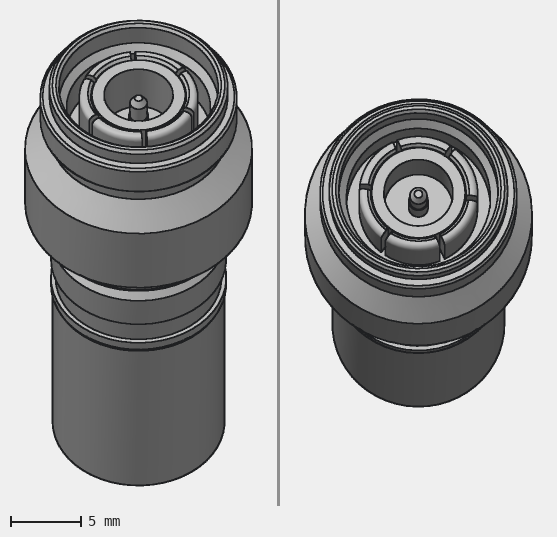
import cadquery as cq

LENGTH = 36.2

SLEEVE_RADIUS = 6.15
FLANGE_RADIUS = 6.25
FLANGE_CHAMFER = 0.25
SLEEVE_TOP_Z = 14.5
GROOVE_RADIUS = 5.95
GROOVE_BOTTOM_Z = 15.53
GROOVE_TOP_Z = 17.25
GROOVE_TAPER_RADIUS = 6.08
BODY_BOTTOM_Z = 17.52
BODY_TOP_Z = 20.05
WAIST_RADIUS = 4.95

NUT_BOTTOM_Z = 21.35
NUT_RIM_RADIUS = 6.48
NUT_RIM_TOP_RADIUS = 6.75
NUT_RIM_TOP_Z = 21.75
NUT_STEP_FOOT_RADIUS = 6.8
NUT_STEP_FOOT_Z = 21.85
NUT_STEP_RADIUS = 6.9
NUT_STEP_TOP_Z = 22.45
NUT_RADIUS = 8.1
NUT_CHAMFER = 1.12
NUT_CONE_Z = 29.4
NECK_RADIUS = 6.37
COLLAR_RADIUS = 7.02
COLLAR_BOTTOM_Z = 32.58
COLLAR_TOP_Z = 35.0
COLLAR_TOP_CHAMFER = 0.18
COLLAR_BOTTOM_CHAMFER = 0.1
RIM_CHAMFER = 0.2

BORE_RADIUS = 5.7
SEAT_TOP_Z = 34.35
SEAT_RADIUS = 5.15
CAVITY_FLOOR_Z = 31.15

RING_RADIUS = 4.25
RING_TOP_Z = 35.3
RING_ROUND = 0.4
RING_BORE_RADIUS = 3.4
RING_BORE_CHAMFER = 0.2
SLOT_COUNT = 6
SLOT_WIDTH = 0.35

INSULATOR_RADIUS = 3.33
INSULATOR_TOP_Z = 35.15
SOCKET_RADIUS = 2.45
PIN_BASE_RADIUS = 0.7
PIN_BASE_TOP_Z = 32.95
PIN_RADIUS = 0.6
PIN_TIP_RADIUS = 0.3
PIN_TIP_HEIGHT = 0.5
PIN_TOP_Z = 34.82


def cylinder(radius, bottom, top):
    return cq.Workplane("XY").workplane(offset=bottom).circle(radius).extrude(top - bottom)


def revolved(points):
    """Turn a closed (radius, height) outline around the Z axis."""
    return cq.Workplane("XZ").polyline(points).close().revolve(360, (0, 0, 0), (0, 1, 0))


def outer_body():
    """Revolve the outside profile, from the cable end up to the rim."""
    nut_bottom_cone_z = NUT_STEP_TOP_Z + NUT_CHAMFER
    points = [
        (0, 0),
        (SLEEVE_RADIUS, 0),
        (SLEEVE_RADIUS, SLEEVE_TOP_Z),
        (FLANGE_RADIUS - FLANGE_CHAMFER, SLEEVE_TOP_Z),
        (FLANGE_RADIUS, SLEEVE_TOP_Z + FLANGE_CHAMFER),
        (FLANGE_RADIUS, GROOVE_BOTTOM_Z),
        (GROOVE_RADIUS, GROOVE_BOTTOM_Z),
        (GROOVE_RADIUS, GROOVE_TOP_Z),
        (GROOVE_TAPER_RADIUS, BODY_BOTTOM_Z),
        (FLANGE_RADIUS, BODY_BOTTOM_Z),
        (FLANGE_RADIUS, BODY_TOP_Z),
        (WAIST_RADIUS, NUT_BOTTOM_Z),
        (NUT_RIM_RADIUS, NUT_BOTTOM_Z),
        (NUT_RIM_TOP_RADIUS, NUT_RIM_TOP_Z),
        (NUT_STEP_FOOT_RADIUS, NUT_STEP_FOOT_Z),
        (NUT_STEP_RADIUS, NUT_STEP_TOP_Z),
        (NUT_RADIUS - NUT_CHAMFER, NUT_STEP_TOP_Z),
        (NUT_RADIUS, nut_bottom_cone_z),
        (NUT_RADIUS, NUT_CONE_Z),
        (NECK_RADIUS, NUT_CONE_Z + NUT_RADIUS - NECK_RADIUS),
        (NECK_RADIUS, COLLAR_BOTTOM_Z),
        (COLLAR_RADIUS - COLLAR_BOTTOM_CHAMFER, COLLAR_BOTTOM_Z),
        (COLLAR_RADIUS, COLLAR_BOTTOM_Z + COLLAR_BOTTOM_CHAMFER),
        (COLLAR_RADIUS, COLLAR_TOP_Z - COLLAR_TOP_CHAMFER),
        (COLLAR_RADIUS - COLLAR_TOP_CHAMFER, COLLAR_TOP_Z),
        (NECK_RADIUS, COLLAR_TOP_Z),
        (NECK_RADIUS, LENGTH - RIM_CHAMFER),
        (NECK_RADIUS - RIM_CHAMFER, LENGTH),
        (0, LENGTH),
    ]
    return revolved(points)


def mating_cavity():
    """Stepped bore with a chamfered mouth and a conical seat."""
    seat_bottom_z = SEAT_TOP_Z - (BORE_RADIUS - SEAT_RADIUS)
    points = [
        (0, CAVITY_FLOOR_Z),
        (SEAT_RADIUS, CAVITY_FLOOR_Z),
        (SEAT_RADIUS, seat_bottom_z),
        (BORE_RADIUS, SEAT_TOP_Z),
        (BORE_RADIUS, LENGTH - RIM_CHAMFER),
        (BORE_RADIUS + RIM_CHAMFER, LENGTH),
        (0, LENGTH),
    ]
    return revolved(points)


def contact_ring():
    """Ring of spring fingers: rounded outer lip, chamfered bore, radial slots."""
    ring = cylinder(RING_RADIUS, CAVITY_FLOOR_Z, RING_TOP_Z).faces(">Z").edges().fillet(RING_ROUND)
    bore = cylinder(RING_BORE_RADIUS, CAVITY_FLOOR_Z, RING_TOP_Z)
    mouth_radius = RING_BORE_RADIUS + RING_BORE_CHAMFER
    mouth = revolved([(0, RING_TOP_Z), (mouth_radius, RING_TOP_Z), (0, RING_TOP_Z - mouth_radius)])
    ring = ring.cut(bore).cut(mouth)
    slot_height = RING_TOP_Z - CAVITY_FLOOR_Z
    for index in range(SLOT_COUNT // 2):
        slot = (
            cq.Workplane("XY")
            .workplane(offset=CAVITY_FLOOR_Z)
            .rect(2 * RING_RADIUS, SLOT_WIDTH)
            .extrude(slot_height)
            .rotate((0, 0, 0), (0, 0, 1), index * 360 / SLOT_COUNT)
        )
        ring = ring.cut(slot)
    return ring


def insulator():
    sleeve = cylinder(INSULATOR_RADIUS, CAVITY_FLOOR_Z, INSULATOR_TOP_Z)
    return sleeve.cut(cylinder(SOCKET_RADIUS, CAVITY_FLOOR_Z, INSULATOR_TOP_Z))


def centre_pin():
    """Stepped pin with a blunt conical tip."""
    points = [
        (0, CAVITY_FLOOR_Z),
        (PIN_BASE_RADIUS, CAVITY_FLOOR_Z),
        (PIN_BASE_RADIUS, PIN_BASE_TOP_Z),
        (PIN_RADIUS, PIN_BASE_TOP_Z),
        (PIN_RADIUS, PIN_TOP_Z - PIN_TIP_HEIGHT),
        (PIN_TIP_RADIUS, PIN_TOP_Z),
        (0, PIN_TOP_Z),
    ]
    return revolved(points)


shell = outer_body().cut(mating_cavity())
result = shell.union(contact_ring()).union(insulator()).union(centre_pin())